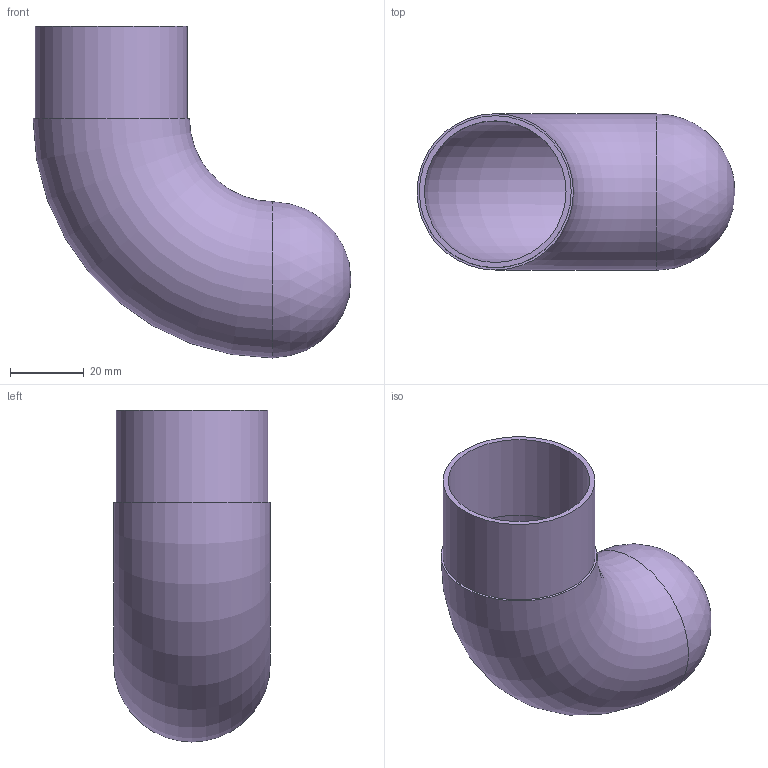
import math

import cadquery as cq

pipe_diameter = 42.4
wall = 2.0
spigot_diameter = 41.2
spigot_length = 25.0
overall_height = 90.0

pipe_radius = pipe_diameter / 2
bore_radius = pipe_radius - wall
spigot_radius = spigot_diameter / 2
bend_radius = overall_height - spigot_length - pipe_radius
bend_angle = 90


def straight_length(radius):
    """Straight length rising from the start of the bend at the origin."""
    return cq.Workplane("XY").circle(radius).extrude(spigot_length)


def elbow(radius):
    """Quarter bend from the origin, turning from -Z towards +X."""
    return (
        cq.Workplane("XY")
        .circle(radius)
        .revolve(bend_angle, (bend_radius, 0, 0), (bend_radius, -1, 0))
    )


def end_dome(radius):
    """Hemisphere closing the far end of the bend, facing +X."""
    arc_middle = radius * math.cos(math.pi / 4)
    return (
        cq.Workplane("XY", origin=(bend_radius, 0, -bend_radius))
        .lineTo(radius, 0)
        .threePointArc((arc_middle, arc_middle), (0, radius))
        .close()
        .revolve(360, (0, 0, 0), (1, 0, 0))
    )


def domed_elbow(straight_radius, bend_section_radius):
    """Straight, bend and dome joined into one solid."""
    return (
        straight_length(straight_radius)
        .union(elbow(bend_section_radius))
        .union(end_dome(bend_section_radius))
    )


outer_body = domed_elbow(spigot_radius, pipe_radius)
cavity = domed_elbow(bore_radius, bore_radius)

result = outer_body.cut(cavity)